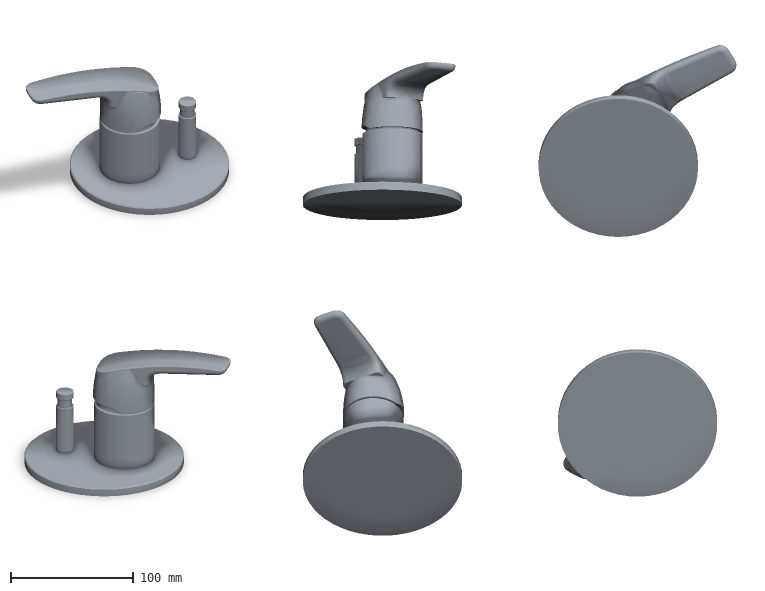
import cadquery as cq

PLATE_RADIUS = 65.1
PLATE_RIM_HEIGHT = 6.8
PLATE_CROWN_HEIGHT = 7.3
PLATE_EDGE_ROUND = 0.8

PIN_Y = 33.0
PIN_RADIUS = 7.1
PIN_NECK_RADIUS = 6.0
PIN_NECK_BOTTOM = 47.4
PIN_NECK_TOP = 54.5
PIN_TOP = 60.5
PIN_EDGE_ROUND = 0.7

BODY_Y = -17.0
BODY_RADIUS = 24.6
BODY_TOP = 56.0
BODY_EDGE = 0.5
NECK_RADIUS = 23.0
NECK_TOP_RADIUS = 19.5
NECK_TOP = 64.5

HEAD_SECTIONS = [
    (56.0, 25.0, 8.7, -41.6),
    (78.2, 23.5, 7.3, -41.3),
    (91.0, 20.4, 4.5, -39.8),
    (102.0, 16.1, 0.0, -35.7),
]
HEAD_SINK = 1.4
HEAD_REAR_BOTTOM = 61.9
HEAD_FRONT_BOTTOM = 57.6
STEP_REAR_Y = -11.0
STEP_FRONT_Y = -25.5

BLADE_REAR_Y = 5.0
BLADE_TIP_Y = PLATE_RADIUS - 170.0
BLADE_REAR_HALF_WIDTH = 19.5
BLADE_TIP_HALF_WIDTH = 13.3
BLADE_END_BOW = 1.4
BLADE_TIP_CORNER = 7.1
BLADE_REAR_CORNER = 11.9
BLADE_CREST = (-79.4, 101.5)
BLADE_TOP_REAR = (BLADE_REAR_Y, 88.0)
BLADE_TOP_CURVE = [BLADE_CREST, (-63.4, 101.1), (-41.8, 98.9), (-22.8, 95.5), (-2.9, 90.4), BLADE_TOP_REAR]
BLADE_HEEL = (5.5, 85.8)
BLADE_TOP_END = (-107.0, 100.1)
THROAT_TOP = (-52.7, 92.1)
THROAT_BOTTOM = (-40.6, 81.5)
UNDERSIDE_SLOPE = (-1, 0.06)
UNDERSIDE_RUN = 54.4
UNDERSIDE_END = (
    THROAT_TOP[0] + UNDERSIDE_RUN * UNDERSIDE_SLOPE[0],
    THROAT_TOP[1] + UNDERSIDE_RUN * UNDERSIDE_SLOPE[1],
)
BLADE_UNDER_ROUND = 3.9
BLADE_TOP_ROUND = 1.0

TOOL_WIDTH = 68.0
TOOL_TOP = 136.0
TOOL_BOTTOM = 34.0
TOOL_REAR_Y = 34.0
TOOL_FRONT_Y = -136.0


def make_plate():
    profile = (
        cq.Workplane("XZ")
        .lineTo(PLATE_RADIUS, 0)
        .lineTo(PLATE_RADIUS, PLATE_RIM_HEIGHT - PLATE_EDGE_ROUND)
        .lineTo(PLATE_RADIUS - PLATE_EDGE_ROUND, PLATE_RIM_HEIGHT)
        .lineTo(0, PLATE_CROWN_HEIGHT)
        .close()
    )
    return profile.revolve(360, (0, 0), (0, 1))


def make_pin():
    shaft = cq.Workplane("XY").circle(PIN_RADIUS).extrude(PIN_NECK_BOTTOM)
    neck = cq.Workplane("XY").circle(PIN_NECK_RADIUS).extrude(PIN_TOP)
    cap = (
        cq.Workplane("XY", origin=(0, 0, PIN_NECK_TOP))
        .circle(PIN_RADIUS)
        .extrude(PIN_TOP - PIN_NECK_TOP)
        .edges()
        .fillet(PIN_EDGE_ROUND)
    )
    return shaft.union(neck).union(cap).translate((0, PIN_Y, 0))


def make_body():
    barrel = cq.Workplane("XY").circle(BODY_RADIUS).extrude(BODY_TOP).faces(">Z").chamfer(BODY_EDGE)
    neck = (
        cq.Workplane("XY", origin=(0, 0, BODY_TOP - BODY_EDGE))
        .circle(NECK_RADIUS)
        .workplane(offset=NECK_TOP - BODY_TOP + BODY_EDGE)
        .circle(NECK_TOP_RADIUS)
        .loft()
    )
    return barrel.union(neck).translate((0, BODY_Y, 0))


def head_section(height, half_width, rear_y, front_y):
    """Closed elliptical wire at one height of the lever head, longest along Y."""
    centre = cq.Vector(0, (rear_y + front_y) / 2, height)
    half_length = (rear_y - front_y) / 2
    return cq.Wire.makeEllipse(half_length, half_width, centre, cq.Vector(0, 0, 1), cq.Vector(0, 1, 0))


def across_lever(profile):
    """Extrude a YZ profile across the full width of the lever."""
    return profile.close().extrude(TOOL_WIDTH)


def make_head():
    head = cq.Workplane(cq.Solid.makeLoft([head_section(*section) for section in HEAD_SECTIONS]))
    below_head = across_lever(
        cq.Workplane("YZ", origin=(-TOOL_WIDTH / 2, 0, 0))
        .moveTo(TOOL_REAR_Y, HEAD_REAR_BOTTOM)
        .lineTo(STEP_REAR_Y, HEAD_REAR_BOTTOM)
        .spline([(STEP_FRONT_Y, HEAD_FRONT_BOTTOM)], tangents=[(-1, 0), (-1, 0)], includeCurrent=True)
        .lineTo(TOOL_FRONT_Y, HEAD_FRONT_BOTTOM)
        .lineTo(TOOL_FRONT_Y, TOOL_BOTTOM)
        .lineTo(TOOL_REAR_Y, TOOL_BOTTOM)
    )
    above_head = across_lever(
        cq.Workplane("YZ", origin=(-TOOL_WIDTH / 2, 0, 0))
        .moveTo(*BLADE_TOP_END)
        .spline(BLADE_TOP_CURVE, includeCurrent=True)
        .lineTo(TOOL_REAR_Y, BLADE_TOP_REAR[1])
        .lineTo(TOOL_REAR_Y, TOOL_TOP)
        .lineTo(BLADE_TOP_END[0], TOOL_TOP)
    )
    return head.cut(below_head).cut(above_head.translate((0, 0, -HEAD_SINK)))


def rims_underside(edge):
    """Whether an edge borders the blade's underside or throat, leaving out lines across its width."""
    middle = edge.positionAt(0.5)
    is_low = middle.z < UNDERSIDE_END[1] + BLADE_TOP_ROUND
    is_ahead = middle.y < THROAT_BOTTOM[0] - BLADE_TOP_ROUND
    is_beside = abs(middle.x) > BLADE_TIP_HALF_WIDTH / 2
    is_at_tip = middle.y < BLADE_TIP_Y + BLADE_END_BOW
    return is_low and is_ahead and (is_beside or is_at_tip)


def make_blade():
    outline = (
        cq.Workplane("XY", origin=(0, 0, TOOL_BOTTOM))
        .moveTo(-BLADE_TIP_HALF_WIDTH, BLADE_TIP_Y + BLADE_END_BOW)
        .threePointArc((0, BLADE_TIP_Y), (BLADE_TIP_HALF_WIDTH, BLADE_TIP_Y + BLADE_END_BOW))
        .lineTo(BLADE_REAR_HALF_WIDTH, BLADE_REAR_Y - BLADE_END_BOW)
        .threePointArc((0, BLADE_REAR_Y), (-BLADE_REAR_HALF_WIDTH, BLADE_REAR_Y - BLADE_END_BOW))
        .close()
        .extrude(TOOL_TOP - TOOL_BOTTOM)
        .edges("|Z")
        .edges("<Y")
        .fillet(BLADE_TIP_CORNER)
        .edges("|Z")
        .edges(">Y")
        .fillet(BLADE_REAR_CORNER)
    )
    side = across_lever(
        cq.Workplane("YZ", origin=(-TOOL_WIDTH / 2, 0, 0))
        .moveTo(*THROAT_BOTTOM)
        .spline([THROAT_TOP], tangents=[(0, 1), UNDERSIDE_SLOPE], includeCurrent=True)
        .lineTo(*UNDERSIDE_END)
        .lineTo(*BLADE_TOP_END)
        .spline(BLADE_TOP_CURVE, includeCurrent=True)
        .lineTo(*BLADE_HEEL)
    )
    blade = side.intersect(outline)
    blade = blade.edges().filter(rims_underside).fillet(BLADE_UNDER_ROUND)
    return blade.faces(">Z").edges().fillet(BLADE_TOP_ROUND)


lever = make_head().union(make_blade())
result = make_plate().union(make_pin()).union(make_body()).union(lever)